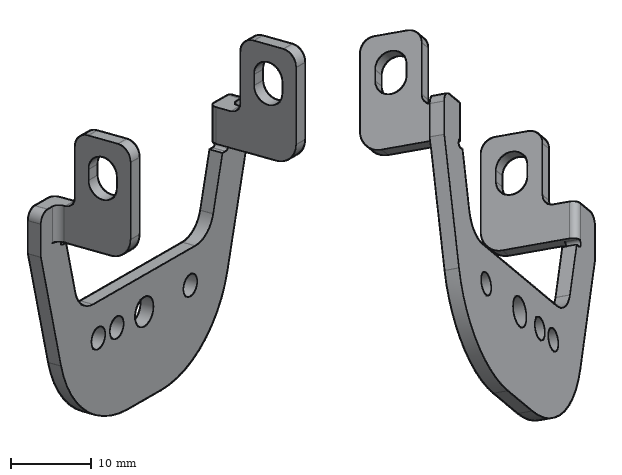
import cadquery as cq
import math

sheet = 2.0
plate_half_width = 22.5
plate_bottom_z = -12.0
plate_top_z = 21.5
side_end_z = 15.5
side_taper = math.radians(15)
plate_top_corner_radius = 1.5
plate_bottom_radius = 15.0

opening_half_width = 17.0
opening_floor_z = 5.0
opening_corner_radius = 4.0

relief_height = 1.0
relief_depth = 1.2
relief_radius = relief_height / 2

tab_reach = 13.2
tab_width = 8.5
tab_top_z = 32.0
tab_bottom_z = side_end_z + relief_height
tab_top_radius = 2.0
tab_notch_radius = 1.5
tab_lower_radius = 3.0
bend_inner_radius = 1.0
bend_outer_radius = 1.0

tab_slot_width = 4.3
tab_slot_height = 5.8
tab_slot_z = 26.7
pivot_hole_diameter = 4.0
small_hole_diameter = 3.0
small_hole_positions_y = (10.0, -6.0, -10.0)

overcut = 1.0


def tapered_half_width(top_half_width, z):
    """Half width at height z of a side that leans inward below side_end_z."""
    return top_half_width - (side_end_z - z) * math.tan(side_taper)


def edges_at(half_width, z):
    """Selector for the two X-direction plate edges at Y = +/- half_width."""
    margin = 0.1
    selectors = [
        cq.selectors.BoxSelector(
            (-margin, side * half_width - margin, z - margin),
            (sheet + margin, side * half_width + margin, z + margin),
        )
        for side in (1, -1)
    ]
    return selectors[0] + selectors[1]


def make_plate():
    """U-shaped plate with tapered arms and rounded corners."""
    bottom_half_width = tapered_half_width(plate_half_width, plate_bottom_z)
    floor_half_width = tapered_half_width(opening_half_width, opening_floor_z)
    right_half = [
        (bottom_half_width, plate_bottom_z),
        (plate_half_width, side_end_z),
        (plate_half_width, plate_top_z),
        (opening_half_width, plate_top_z),
        (opening_half_width, side_end_z),
        (floor_half_width, opening_floor_z),
    ]
    left_half = [(-y, z) for y, z in reversed(right_half)]
    plate = cq.Workplane("YZ").polyline(right_half + left_half).close().extrude(sheet)
    plate = plate.edges(edges_at(plate_half_width, plate_top_z)).fillet(plate_top_corner_radius)
    plate = plate.edges(edges_at(bottom_half_width, plate_bottom_z)).fillet(plate_bottom_radius)
    return plate.edges(edges_at(floor_half_width, opening_floor_z)).fillet(opening_corner_radius)


def make_tab():
    """Upright tab with its slotted hole, on the +Y side of the part."""
    upright_x = tab_reach - tab_width
    outline = [
        (0, tab_bottom_z),
        (tab_reach, tab_bottom_z),
        (tab_reach, tab_top_z),
        (upright_x, tab_top_z),
        (upright_x, plate_top_z),
        (0, plate_top_z),
    ]
    tab = (
        cq.Workplane("XZ", origin=(0, opening_half_width, 0))
        .polyline(outline)
        .close()
        .extrude(-sheet)
    )
    tab = tab.edges("|Y and >Z").fillet(tab_top_radius)
    tab = tab.edges("|Y and >X and <Z").fillet(tab_lower_radius)
    notch_corner = (upright_x, opening_half_width + sheet / 2, plate_top_z)
    notch = cq.selectors.NearestToPointSelector(notch_corner)
    tab = tab.edges("|Y").edges(notch).fillet(tab_notch_radius)
    slot_x = tab_reach - tab_width / 2
    slot = (
        cq.Workplane("XZ", origin=(slot_x, opening_half_width - overcut, tab_slot_z))
        .slot2D(tab_slot_height, tab_slot_width, 90)
        .extrude(-(sheet + 2 * overcut))
    )
    return tab.cut(slot)


def make_bend_fill():
    """Concave fillet between the plate front face and the outer tab face."""
    tab_outer_y = opening_half_width + sheet
    return (
        cq.Workplane("XY", origin=(0, 0, tab_bottom_z))
        .moveTo(sheet, tab_outer_y)
        .lineTo(sheet + bend_inner_radius, tab_outer_y)
        .radiusArc((sheet, tab_outer_y + bend_inner_radius), bend_inner_radius)
        .close()
        .extrude(plate_top_z - tab_bottom_z)
    )


def make_bend_trim():
    """Cutter that rounds the outside of the bend."""
    return (
        cq.Workplane("XY", origin=(0, 0, tab_bottom_z))
        .moveTo(0, opening_half_width)
        .lineTo(bend_outer_radius, opening_half_width)
        .radiusArc((0, opening_half_width + bend_outer_radius), bend_outer_radius)
        .close()
        .extrude(plate_top_z - tab_bottom_z)
    )


def make_relief():
    """Round-ended slot cut into the arm just below the bend."""
    length = relief_depth + overcut
    return (
        cq.Workplane("YZ", origin=(-overcut, 0, 0))
        .center(opening_half_width + (relief_depth - overcut) / 2, side_end_z + relief_radius)
        .slot2D(length, relief_height)
        .extrude(sheet + 2 * overcut)
    )


def make_plate_holes():
    """Cutters for the pivot hole and the row of small holes through the plate."""
    through = cq.Workplane("YZ", origin=(-overcut, 0, 0))
    depth = sheet + 2 * overcut
    pivot = through.circle(pivot_hole_diameter / 2).extrude(depth)
    small_centres = [(y, 0) for y in small_hole_positions_y]
    small = through.pushPoints(small_centres).circle(small_hole_diameter / 2).extrude(depth)
    return pivot.union(small)


def on_both_sides(body):
    """The +Y body together with its mirror image across Y = 0."""
    return body.union(body.mirror("XZ"))


tab_side = make_tab().union(make_bend_fill())
bracket = make_plate().union(on_both_sides(tab_side))
bracket = bracket.cut(on_both_sides(make_bend_trim()))
bracket = bracket.cut(on_both_sides(make_relief()))
result = bracket.cut(make_plate_holes())